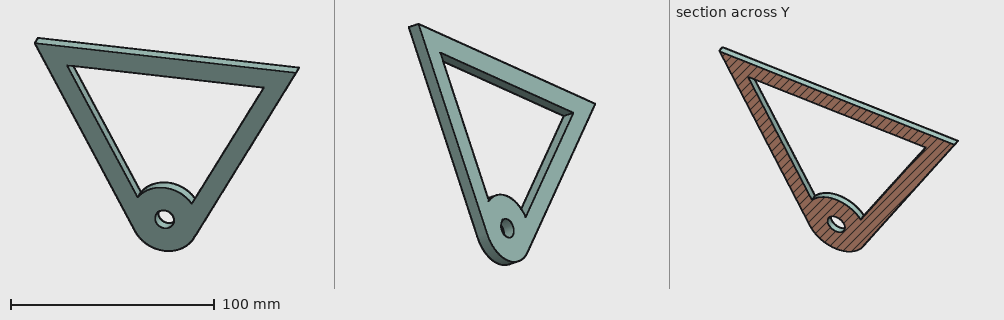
import cadquery as cq
import math

width = 132.8
height = 104.6
thickness = 6.4

eye_radius = 17.1
hole_diameter = 9.5
eye_x = -0.4
eye_z = eye_radius - height

window_top = -10.1
window_half_width = 49.9
window_apex_x = eye_x
window_apex_z = -102.8


def tangent_point(corner_x, side):
    """Point where the edge from a top corner touches the eye; side is -1 left, +1 right."""
    run = corner_x - eye_x
    rise = -eye_z
    distance = math.hypot(run, rise)
    angle = math.atan2(rise, run) - side * math.acos(eye_radius / distance)
    return eye_x + eye_radius * math.cos(angle), eye_z + eye_radius * math.sin(angle)


half_width = width / 2
plate = (
    cq.Workplane("XZ")
    .moveTo(-half_width, 0)
    .lineTo(half_width, 0)
    .lineTo(*tangent_point(half_width, 1))
    .threePointArc((eye_x, -height), tangent_point(-half_width, -1))
    .close()
    .extrude(thickness)
)

window = (
    cq.Workplane("XZ")
    .polyline([
        (-window_half_width, window_top),
        (window_half_width, window_top),
        (window_apex_x, window_apex_z),
    ])
    .close()
    .extrude(thickness)
)

eye = cq.Workplane("XZ").center(eye_x, eye_z).circle(eye_radius).extrude(thickness)
hole = cq.Workplane("XZ").center(eye_x, eye_z).circle(hole_diameter / 2).extrude(thickness)

result = plate.cut(window.cut(eye)).cut(hole)